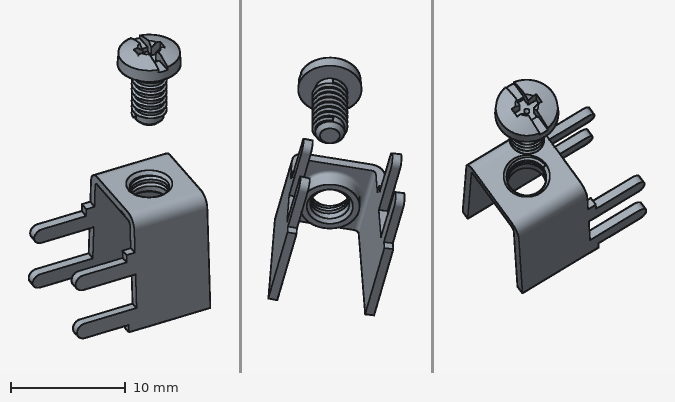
import cadquery as cq
import math


SHEET = 0.8
TERMINAL_WIDTH = 9.42
TERMINAL_HEIGHT = 11.5
PLATE_LENGTH = 7.15
BEND_RADIUS = 1.2
LEG_LEAN = 3.2

SHOULDER_LENGTH = 0.8
SHOULDER_TOP = 8.0
PIN_LENGTH = 5.85
PIN_WIDTH = 1.51
PIN_BOTTOMS = (0.75, 5.75)

COLLAR_RADIUS = 2.58
COLLAR_DEPTH = 1.5
COLLAR_FILLET = 0.31
BORE_RADIUS = 1.7
BORE_CHAMFER = 0.31
TAP_PITCH = 0.7
TAP_TURNS = 2
TAP_DEPTH = 0.31
TAP_WIDTH = 0.37
TAP_START_DEPTH = 0.1

SCREW_TOP = 26.1
HEAD_HEIGHT = 1.67
RIM_HEIGHT = 1.15
RIM_TOP_RADIUS = 2.7
RIM_BOTTOM_RADIUS = 2.77
SHANK_RADIUS = 1.28
SHANK_LENGTH = 6.03
TIP_CHAMFER = 0.42
THREAD_PITCH = 0.63
THREAD_TURNS = 8
THREAD_HEIGHT = 0.25
THREAD_WIDTH = 0.3
THREAD_START_DEPTH = 0.31

SLOT_WIDTH = 0.85
SLOT_DEPTH = 0.8
CROSS_DEPTH = 1.25
CROSS_LENGTH_X = 2.22
CROSS_LENGTH_Y = 2.55
LEAD_IN_RADIUS = 1.02
DIMPLE_RADIUS = 0.23

THREAD_OVERLAP = 0.05


def thread(surface_radius, crest_radius, width, pitch, turns, bottom_z):
    """Left-handed triangular thread of whole turns that starts and ends on the -Y side."""
    height = abs(crest_radius - surface_radius)
    overlap = math.copysign(THREAD_OVERLAP, crest_radius - surface_radius)
    half_base = width / 2 * (height + THREAD_OVERLAP) / height
    base_radius = surface_radius - overlap
    helix = cq.Wire.makeHelix(pitch, pitch * turns, surface_radius, lefthand=True)
    profile = (
        cq.Workplane("XZ")
        .moveTo(base_radius, -half_base)
        .lineTo(crest_radius, 0)
        .lineTo(base_radius, half_base)
        .close()
    )
    ridge = profile.sweep(cq.Workplane(obj=helix), isFrenet=True)
    return ridge.rotate((0, 0, 0), (0, 0, 1), -90).translate((0, 0, bottom_z))


def cone(radius, base_z):
    """45-degree cone that points down from base_z."""
    base = cq.Vector(0, 0, base_z)
    return cq.Workplane(cq.Solid.makeCone(radius, 0, radius, base, cq.Vector(0, 0, -1)))


LEAN = math.radians(LEG_LEAN)
BEND_Z = TERMINAL_HEIGHT - BEND_RADIUS
PLATE_BACK = PLATE_LENGTH / 2
PLATE_FRONT = -PLATE_LENGTH / 2
PLATE_BOTTOM = TERMINAL_HEIGHT - SHEET
COLLAR_BOTTOM = PLATE_BOTTOM - COLLAR_DEPTH
LEG_LENGTH = (BEND_Z + (BEND_RADIUS - SHEET) * math.sin(LEAN)) / math.cos(LEAN)
BEND_X = TERMINAL_WIDTH / 2 - BEND_RADIUS * math.cos(LEAN) - LEG_LENGTH * math.sin(LEAN)


def top_plate():
    plate = cq.Workplane("XY").box(2 * BEND_X, PLATE_LENGTH, SHEET, centered=(True, True, False))
    return plate.translate((0, 0, PLATE_BOTTOM))


def bend():
    """Bend on the +X side, turning from the top plate into the leg."""
    strip = cq.Workplane("XY").center(BEND_RADIUS - SHEET / 2, 0).rect(SHEET, PLATE_LENGTH)
    turned = strip.revolve(90 - LEG_LEAN, (SHEET / 2 - BEND_RADIUS, 0), (SHEET / 2 - BEND_RADIUS, -1))
    return turned.rotate((0, 0, 0), (0, 1, 0), -LEG_LEAN).translate((BEND_X, 0, BEND_Z))


def leg():
    """Leg on the +X side with its shoulder and pins, cut flat and then leaned outward."""
    shoulder_y = PLATE_FRONT - SHOULDER_LENGTH
    tip_y = PLATE_FRONT - PIN_LENGTH
    pin_radius = PIN_WIDTH / 2
    lower_pin, upper_pin = PIN_BOTTOMS
    outline = (
        cq.Workplane("YZ", origin=(BEND_RADIUS - SHEET, 0, -LEG_LENGTH))
        .moveTo(PLATE_BACK, 0)
        .lineTo(PLATE_BACK, LEG_LENGTH)
        .lineTo(PLATE_FRONT, LEG_LENGTH)
        .lineTo(PLATE_FRONT, SHOULDER_TOP)
        .lineTo(shoulder_y, SHOULDER_TOP)
        .lineTo(shoulder_y, upper_pin + PIN_WIDTH)
        .lineTo(tip_y + pin_radius, upper_pin + PIN_WIDTH)
        .threePointArc((tip_y, upper_pin + pin_radius), (tip_y + pin_radius, upper_pin))
        .lineTo(PLATE_FRONT, upper_pin)
        .lineTo(PLATE_FRONT, lower_pin + PIN_WIDTH)
        .lineTo(tip_y + pin_radius, lower_pin + PIN_WIDTH)
        .threePointArc((tip_y, lower_pin + pin_radius), (tip_y + pin_radius, lower_pin))
        .lineTo(shoulder_y, lower_pin)
        .lineTo(shoulder_y, 0)
        .close()
    )
    upright = outline.extrude(SHEET)
    return upright.rotate((0, 0, 0), (0, 1, 0), -LEG_LEAN).translate((BEND_X, 0, BEND_Z))


def collar():
    """Collar under the top plate, flared into it by a concave fillet."""
    flare = COLLAR_RADIUS + COLLAR_FILLET
    fillet_middle = COLLAR_FILLET * (1 - math.sqrt(0.5))
    return (
        cq.Workplane("XZ")
        .moveTo(0, COLLAR_BOTTOM)
        .lineTo(COLLAR_RADIUS, COLLAR_BOTTOM)
        .lineTo(COLLAR_RADIUS, PLATE_BOTTOM - COLLAR_FILLET)
        .threePointArc((COLLAR_RADIUS + fillet_middle, PLATE_BOTTOM - fillet_middle), (flare, PLATE_BOTTOM))
        .lineTo(0, PLATE_BOTTOM)
        .close()
        .revolve(360, (0, 0), (0, 1))
    )


def threaded_bore():
    """Material removed for the bore: chamfered at both mouths, with a thread groove."""
    mouth_radius = BORE_RADIUS + BORE_CHAMFER
    bore = (
        cq.Workplane("XZ")
        .moveTo(0, COLLAR_BOTTOM)
        .lineTo(mouth_radius, COLLAR_BOTTOM)
        .lineTo(BORE_RADIUS, COLLAR_BOTTOM + BORE_CHAMFER)
        .lineTo(BORE_RADIUS, TERMINAL_HEIGHT - BORE_CHAMFER)
        .lineTo(mouth_radius, TERMINAL_HEIGHT)
        .lineTo(0, TERMINAL_HEIGHT)
        .close()
        .revolve(360, (0, 0), (0, 1))
    )
    groove_bottom = TERMINAL_HEIGHT - TAP_START_DEPTH - TAP_PITCH * TAP_TURNS
    groove = thread(BORE_RADIUS, BORE_RADIUS + TAP_DEPTH, TAP_WIDTH, TAP_PITCH, TAP_TURNS, groove_bottom)
    return bore, groove


def make_terminal():
    body = top_plate().union(collar())
    side = bend().union(leg())
    body = body.union(side).union(side.mirror("YZ"))
    bore, groove = threaded_bore()
    return body.cut(bore).cut(groove)


HEAD_BOTTOM = SCREW_TOP - HEAD_HEIGHT
RIM_TOP = HEAD_BOTTOM + RIM_HEIGHT
SCREW_BOTTOM = HEAD_BOTTOM - SHANK_LENGTH
DOME_RISE = SCREW_TOP - RIM_TOP
DOME_CENTER_Z = RIM_TOP + DOME_RISE / 2 - (RIM_TOP_RADIUS**2 - LEAD_IN_RADIUS**2) / (2 * DOME_RISE)
DOME_RADIUS = math.hypot(RIM_TOP_RADIUS, RIM_TOP - DOME_CENTER_Z)
DOME_APEX = DOME_CENTER_Z + DOME_RADIUS


def screw_blank():
    """Head and chamfered shank as one turned shape."""
    dome_middle_x = RIM_TOP_RADIUS / 2
    dome_middle_z = DOME_CENTER_Z + math.sqrt(DOME_RADIUS**2 - dome_middle_x**2)
    return (
        cq.Workplane("XZ")
        .moveTo(0, SCREW_BOTTOM)
        .lineTo(SHANK_RADIUS - TIP_CHAMFER, SCREW_BOTTOM)
        .lineTo(SHANK_RADIUS, SCREW_BOTTOM + TIP_CHAMFER)
        .lineTo(SHANK_RADIUS, HEAD_BOTTOM)
        .lineTo(RIM_BOTTOM_RADIUS, HEAD_BOTTOM)
        .lineTo(RIM_TOP_RADIUS, RIM_TOP)
        .threePointArc((dome_middle_x, dome_middle_z), (0, DOME_APEX))
        .close()
        .revolve(360, (0, 0), (0, 1))
    )


def drive_pocket(length_x, length_y, depth):
    """Box that cuts from above the dome down to a depth below the screw top."""
    height = depth + DOME_APEX - SCREW_TOP
    pocket = cq.Workplane("XY").box(length_x, length_y, height, centered=(True, True, False))
    return pocket.translate((0, 0, SCREW_TOP - depth))


def cut_drive(blank):
    """Full-width slot along X, a deeper cross, a lead-in cone and a dimple at the center."""
    slot = drive_pocket(2 * RIM_BOTTOM_RADIUS, SLOT_WIDTH, SLOT_DEPTH)
    cross_x = drive_pocket(CROSS_LENGTH_X, SLOT_WIDTH, CROSS_DEPTH)
    cross_y = drive_pocket(SLOT_WIDTH, CROSS_LENGTH_Y, CROSS_DEPTH)
    rise = DOME_APEX - SCREW_TOP
    lead_in = cone(LEAD_IN_RADIUS + rise, DOME_APEX)
    dimple = cone(DIMPLE_RADIUS, SCREW_TOP - CROSS_DEPTH)
    return blank.cut(slot).cut(cross_x).cut(cross_y).cut(lead_in).cut(dimple)


def make_screw():
    thread_bottom = HEAD_BOTTOM - THREAD_START_DEPTH - THREAD_PITCH * THREAD_TURNS
    crest_radius = SHANK_RADIUS + THREAD_HEIGHT
    ridge = thread(SHANK_RADIUS, crest_radius, THREAD_WIDTH, THREAD_PITCH, THREAD_TURNS, thread_bottom)
    return cut_drive(screw_blank()).union(ridge)


terminal = make_terminal()
screw = make_screw()

result = cq.Compound.makeCompound([terminal.solids().val(), screw.solids().val()])